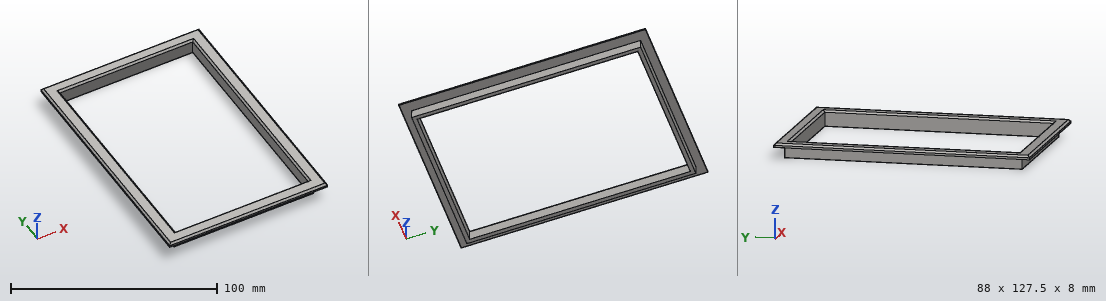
import cadquery as cq

flange_width = 88.0
flange_length = 127.5
flange_thickness = 2.0
outer_chamfer = 1.0

total_height = 8.0
skirt_width = 77.8
skirt_length = 118.3
skirt_height = total_height - flange_thickness

opening_width = 74.0
opening_length = 114.0
opening_chamfer = 1.0

inner_offset_y = 0.3


def block(width, length, height, base_z, center_y=0):
    """Rectangular block centred at (0, center_y), standing on base_z."""
    base = cq.Workplane("XY", origin=(0, center_y, base_z))
    return base.rect(width, length).extrude(height)


flange = block(flange_width, flange_length, flange_thickness, skirt_height)
flange = flange.faces(">Z").edges().chamfer(outer_chamfer)

skirt = block(skirt_width, skirt_length, skirt_height, 0, inner_offset_y)

opening = block(opening_width, opening_length, total_height, 0, inner_offset_y)
rim_bevel = (
    cq.Workplane("XY", origin=(0, inner_offset_y, total_height - opening_chamfer))
    .rect(opening_width, opening_length)
    .workplane(offset=opening_chamfer)
    .rect(opening_width + 2 * opening_chamfer, opening_length + 2 * opening_chamfer)
    .loft()
)

result = flange.union(skirt).cut(opening).cut(rim_bevel)